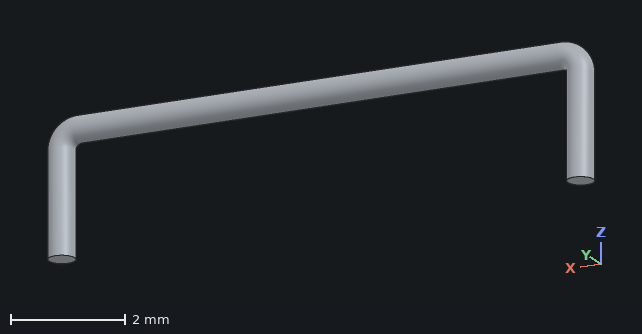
import cadquery as cq

wire_diameter = 0.5
leg_pitch = 10.16
leg_straight_length = 2.0
bend_inner_radius = 0.1

wire_radius = wire_diameter / 2
bend_radius = bend_inner_radius + wire_radius
half_pitch = leg_pitch / 2
half_bar = half_pitch - bend_radius

leg_bottom = 0.0
bend_start = leg_bottom + leg_straight_length
bar_height = bend_start + bend_radius


def wire_centerline():
    """Centerline in the XZ plane, from the left leg end to the right leg end."""
    return (
        cq.Workplane("XZ")
        .moveTo(-half_pitch, leg_bottom)
        .lineTo(-half_pitch, bend_start)
        .radiusArc((-half_bar, bar_height), bend_radius)
        .lineTo(half_bar, bar_height)
        .radiusArc((half_pitch, bend_start), bend_radius)
        .lineTo(half_pitch, leg_bottom)
    )


def wire_section():
    """Round wire section at the bottom of the left leg."""
    return (
        cq.Workplane("XY", origin=(-half_pitch, 0, leg_bottom))
        .circle(wire_radius)
    )


result = wire_section().sweep(wire_centerline())